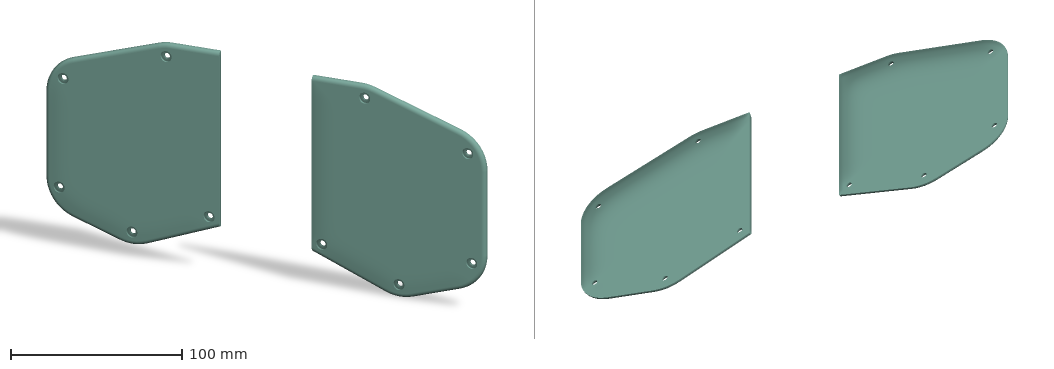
import cadquery as cq
import math

overall_width = 277.0
plate_width = 110.0
plate_thickness = 2.8
right_plate_drop = 7.5
right_plate_setback = 3.3

top_corner_u = 35.0
bottom_corner_u = 54.5
bottom_corner_v = 133.5
outer_slope = math.radians(18.4)
inner_slope = math.radians(21.7)
corner_radius = 25.0
front_edge_radius = 2.75

hole_positions = [(33.5, 8.3), (98.5, 33.0), (101.0, 102.5), (55.0, 123.5), (6.5, 105.8)]
hole_diameter = 3.5
counterbore_diameter = 7.0
counterbore_depth = 1.5

LEFT = -1
RIGHT = 1


def outline_corners():
    """Corners of the outline before rounding: the sharp inner ones and the ones to be rounded."""
    shoulder_v = (plate_width - top_corner_u) * math.tan(outer_slope)
    outer_bottom_v = bottom_corner_v - (plate_width - bottom_corner_u) * math.tan(outer_slope)
    inner_bottom_v = bottom_corner_v - bottom_corner_u * math.tan(inner_slope)
    inner_top = (0, 0)
    inner_bottom = (0, inner_bottom_v)
    rounded = [
        (top_corner_u, 0),
        (plate_width, shoulder_v),
        (plate_width, outer_bottom_v),
        (bottom_corner_u, bottom_corner_v),
    ]
    return inner_top, rounded, inner_bottom


def plate(side, front_y, top_z):
    """One plate with its front face at front_y and its flat top edge at top_z."""

    def place(point):
        u, v = point
        inner_x = overall_width / 2 - plate_width
        return side * (inner_x + u), top_z - v

    inner_top, rounded, inner_bottom = outline_corners()
    outline = [place(corner) for corner in [inner_top, *rounded, inner_bottom]]

    front = cq.Workplane("XZ", origin=(0, front_y, 0))
    body = front.polyline(outline).close().extrude(-plate_thickness)

    for corner in rounded:
        x, z = place(corner)
        middle_y = front_y + plate_thickness / 2
        corner_edge = cq.selectors.NearestToPointSelector((x, middle_y, z))
        body = body.edges(corner_edge).fillet(corner_radius)

    inner_edge = ">X" if side == LEFT else "<X"
    body = body.faces("<Y").edges(f"not {inner_edge}").fillet(front_edge_radius)

    centers = [place(position) for position in hole_positions]
    through_holes = front.pushPoints(centers).circle(hole_diameter / 2).extrude(-plate_thickness)
    counterbores = front.pushPoints(centers).circle(counterbore_diameter / 2).extrude(-counterbore_depth)
    return body.cut(through_holes).cut(counterbores)


left_plate = plate(LEFT, 0, 0)
right_plate = plate(RIGHT, right_plate_setback, -right_plate_drop)

result = cq.Compound.makeCompound([left_plate.val(), right_plate.val()])